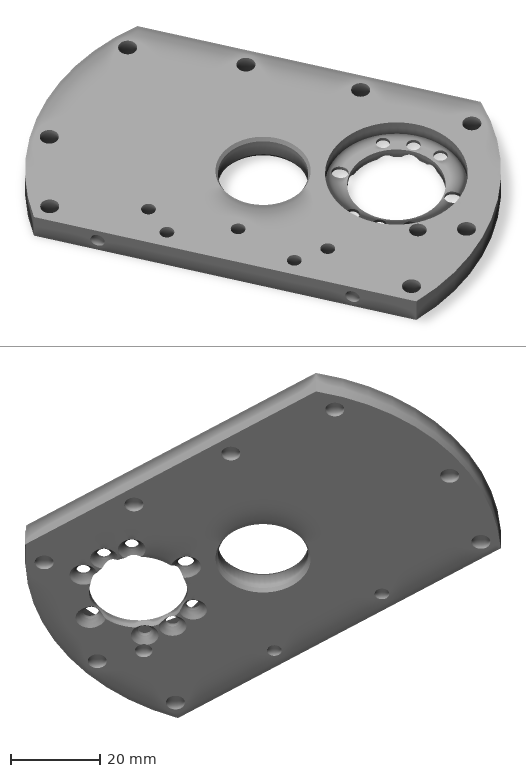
import cadquery as cq
import math

thickness = 6.0
disc_radius = 53.4
back_flat_y = 35.0
front_flat_y = -29.0

bore_diameter = 20.3
bore_lead_in_width = 0.5
bore_lead_in_angle = 30.0

seat_x = 28.9
seat_y = 8.0
seat_diameter = 32.1
seat_depth = 3.6
seat_opening_diameter = 22.1
seat_screw_diameter = 3.2
seat_axial_pitch_radius = 13.0
seat_diagonal_pitch_radius = 13.5
seat_diagonal_angle = 60.0
seat_slot_length = 3.8
seat_slot_width = 3.4
seat_slot_offset = 13.3
seat_countersink_depth = 1.5

mount_diameter = 4.3
mount_pitch_radius = 49.2
mount_angles = (34.7, -4.6, -30.2)
back_hole_x = 13.5
back_hole_y = 30.7
relief_hole_x = 38.7
relief_hole_y = -7.5
relief_hole_diameter = 4.0

tap_diameter = 3.3
tap_through_x = 15.0
tap_through_y = mount_pitch_radius * math.sin(math.radians(mount_angles[-1]))
top_row_spacing = 21.0
top_row_y = -19.0
top_row_depth = 3.7
edge_hole_x = 29.9
edge_hole_depth = 10.0
drill_tip_angle = 118.0


def polar(radius, angle):
    """Point at the given radius and angle (degrees) from the origin."""
    return (radius * math.cos(math.radians(angle)), radius * math.sin(math.radians(angle)))


def mirrored(points):
    """The points together with their mirror images across the Y axis."""
    return [(side * x, y) for x, y in points for side in (1, -1)]


def drill_through(body, points, diameter):
    drills = cq.Workplane("XY").pushPoints(points).circle(diameter / 2).extrude(thickness)
    return body.cut(drills)


def drill_blind(body, entry, direction, depth):
    """Blind tap-size hole ending in a conical drill tip."""
    radius = tap_diameter / 2
    tip_height = radius / math.tan(math.radians(drill_tip_angle / 2))
    start = cq.Vector(*entry)
    axis = cq.Vector(*direction)
    shank = cq.Solid.makeCylinder(radius, depth, start, axis)
    tip = cq.Solid.makeCone(radius, 0, tip_height, start + axis * depth, axis)
    return body.cut(cq.Workplane(shank)).cut(cq.Workplane(tip))


def make_plate():
    plate_depth = back_flat_y - front_flat_y
    disc = cq.Workplane("XY").circle(disc_radius).extrude(thickness)
    band = (
        cq.Workplane("XY")
        .center(0, (back_flat_y + front_flat_y) / 2)
        .rect(2 * disc_radius, plate_depth)
        .extrude(thickness)
    )
    return disc.intersect(band)


def cut_bore(body):
    body = drill_through(body, [(0, 0)], bore_diameter)
    lead_in_depth = bore_lead_in_width / math.tan(math.radians(bore_lead_in_angle))
    rim_radius = bore_diameter / 2 + bore_lead_in_width
    for rim_z, inward in ((0, 1), (thickness, -1)):
        lead_in = cq.Solid.makeCone(
            rim_radius, bore_diameter / 2, lead_in_depth, cq.Vector(0, 0, rim_z), cq.Vector(0, 0, inward)
        )
        body = body.cut(cq.Workplane(lead_in))
    return body


def cut_motor_seat(body):
    seat = (
        cq.Workplane("XY", origin=(seat_x, seat_y, thickness))
        .circle(seat_diameter / 2)
        .extrude(-seat_depth)
    )
    body = drill_through(body.cut(seat), [(seat_x, seat_y)], seat_opening_diameter)

    offsets = [polar(seat_axial_pitch_radius, angle) for angle in (90, -90)]
    for angle in (seat_diagonal_angle, -seat_diagonal_angle):
        offsets += mirrored([polar(seat_diagonal_pitch_radius, angle)])
    screws = [(seat_x + x, seat_y + y) for x, y in offsets]
    body = drill_through(body, screws, seat_screw_diameter)

    for screw in screws:
        countersink = cq.Solid.makeCone(
            seat_screw_diameter / 2 + seat_countersink_depth,
            seat_screw_diameter / 2,
            seat_countersink_depth,
            cq.Vector(*screw, 0),
        )
        body = body.cut(cq.Workplane(countersink))

    flare = 2 * seat_countersink_depth
    for x, y in mirrored([(seat_slot_offset, 0)]):
        base = cq.Workplane("XY", origin=(seat_x + x, seat_y + y, 0))
        slot = base.slot2D(seat_slot_length, seat_slot_width).extrude(thickness)
        countersink = base.slot2D(seat_slot_length + flare, seat_slot_width + flare).extrude(
            seat_countersink_depth, taper=45
        )
        body = body.cut(slot).cut(countersink)
    return body


def cut_plain_holes(body):
    mounts = [polar(mount_pitch_radius, angle) for angle in mount_angles]
    body = drill_through(body, mirrored(mounts + [(back_hole_x, back_hole_y)]), mount_diameter)
    return drill_through(body, [(relief_hole_x, relief_hole_y)], relief_hole_diameter)


def cut_tapped_holes(body):
    body = drill_through(body, mirrored([(tap_through_x, tap_through_y)]), tap_diameter)
    for x in (-top_row_spacing, 0, top_row_spacing):
        body = drill_blind(body, (x, top_row_y, thickness), (0, 0, -1), top_row_depth)
    for x in (-edge_hole_x, edge_hole_x):
        body = drill_blind(body, (x, front_flat_y, thickness / 2), (0, 1, 0), edge_hole_depth)
    return body


result = cut_tapped_holes(cut_plain_holes(cut_motor_seat(cut_bore(make_plate()))))